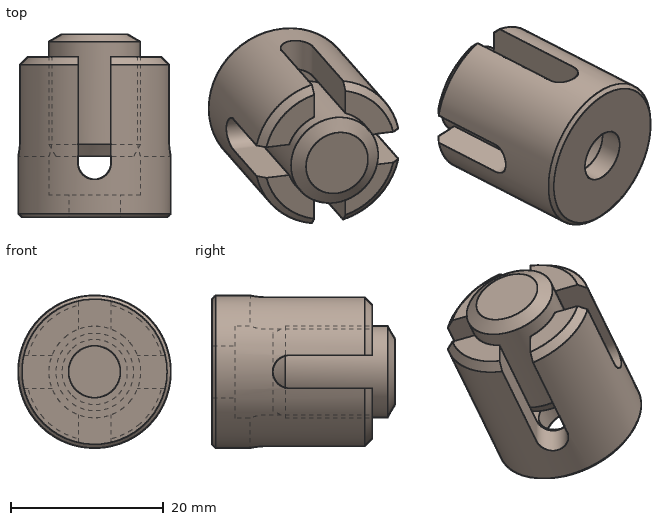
import cadquery as cq
import math


housing_diameter = 20.0
housing_length = 21.0
closed_end_chamfer = 0.5
open_end_chamfer = 1.0
bore_diameter = 12.0
floor_thickness = 3.0
floor_hole_diameter = 6.8

slot_width = 4.3
vertical_slot_end = 5.0
horizontal_slot_end = 8.0

plunger_diameter = bore_diameter
plunger_inner_end = 8.0
plunger_outer_end = 24.0
inner_taper_length = 1.6
inner_taper_angle = 30.0
outer_taper_length = 1.0
outer_taper_angle = 60.0


def make_slot_cutter(slot_end):
    """Cutter running right across the housing along Z, with a round end at Y = slot_end."""
    radius = slot_width / 2
    round_centre = slot_end + radius
    return (
        cq.Workplane("XY")
        .moveTo(-radius, round_centre)
        .threePointArc((0, slot_end), (radius, round_centre))
        .lineTo(radius, housing_length)
        .lineTo(-radius, housing_length)
        .close()
        .extrude(housing_diameter / 2, both=True)
    )


def make_housing():
    """Slotted cup with a stepped bore: a small hole in the floor, then the plunger bore."""
    outer_radius = housing_diameter / 2
    bore_radius = bore_diameter / 2
    hole_radius = floor_hole_diameter / 2
    cup = (
        cq.Workplane("XY")
        .moveTo(hole_radius, 0)
        .lineTo(outer_radius - closed_end_chamfer, 0)
        .lineTo(outer_radius, closed_end_chamfer)
        .lineTo(outer_radius, housing_length - open_end_chamfer)
        .lineTo(outer_radius - open_end_chamfer, housing_length)
        .lineTo(bore_radius, housing_length)
        .lineTo(bore_radius, floor_thickness)
        .lineTo(hole_radius, floor_thickness)
        .close()
        .revolve(360, (0, 0, 0), (0, 1, 0))
    )
    vertical_slot = make_slot_cutter(vertical_slot_end)
    horizontal_slot = make_slot_cutter(horizontal_slot_end).rotate((0, 0, 0), (0, 1, 0), 90)
    return cup.cut(vertical_slot).cut(horizontal_slot)


def make_plunger():
    """Solid round plunger, tapered at both ends, filling the bore and standing out of it."""
    radius = plunger_diameter / 2
    inner_end_radius = radius - inner_taper_length * math.tan(math.radians(inner_taper_angle))
    outer_end_radius = radius - outer_taper_length * math.tan(math.radians(outer_taper_angle))
    return (
        cq.Workplane("XY")
        .moveTo(0, plunger_inner_end)
        .lineTo(inner_end_radius, plunger_inner_end)
        .lineTo(radius, plunger_inner_end + inner_taper_length)
        .lineTo(radius, plunger_outer_end - outer_taper_length)
        .lineTo(outer_end_radius, plunger_outer_end)
        .lineTo(0, plunger_outer_end)
        .close()
        .revolve(360, (0, 0, 0), (0, 1, 0))
    )


housing = make_housing()
plunger = make_plunger()

result = cq.Compound.makeCompound([housing.val(), plunger.val()])